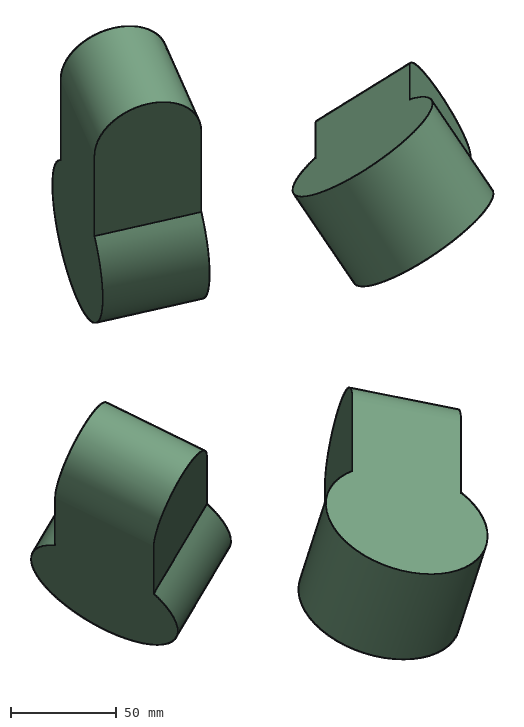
import cadquery as cq

total_height = 149.5
disc_diameter = 79.0
thickness = 53.0

disc_radius = disc_diameter / 2
end_radius = thickness / 2
end_centre_z = total_height - disc_radius - end_radius


def make_disc():
    """Round base with its axis along Y, centred on the origin."""
    return cq.Workplane("XZ").circle(disc_radius).extrude(thickness / 2, both=True)


def make_stem():
    """Square stem rising from the disc axis, its top rounded about an axis along X."""
    return (
        cq.Workplane("YZ")
        .moveTo(-end_radius, 0)
        .lineTo(end_radius, 0)
        .lineTo(end_radius, end_centre_z)
        .threePointArc((0, end_centre_z + end_radius), (-end_radius, end_centre_z))
        .close()
        .extrude(thickness / 2, both=True)
    )


result = make_disc().union(make_stem())